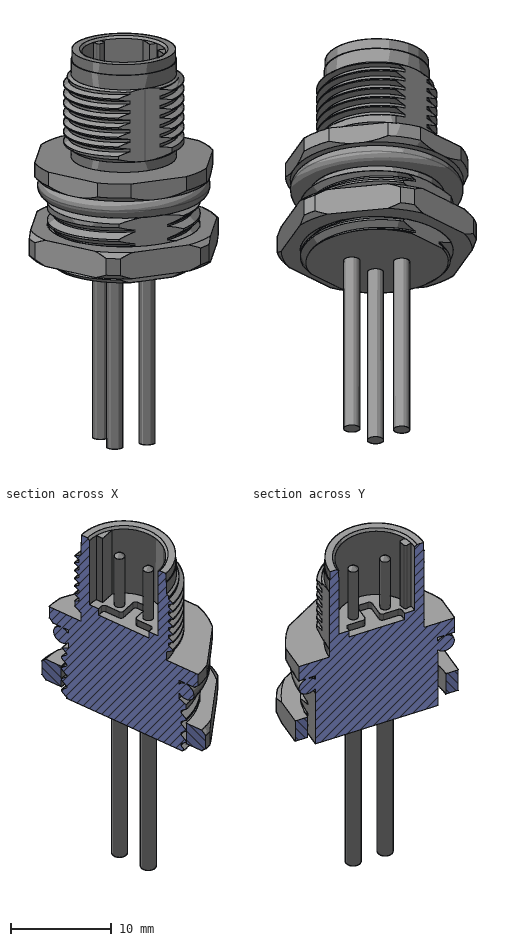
import cadquery as cq
import math

TOTAL_HEIGHT = 40.8
LIP_BOTTOM = 39.7
UPPER_THREAD_TOP = 38.2
UPPER_THREAD_BOTTOM = 30.6
FLANGE_TOP = 29.6
FLANGE_BOTTOM = 27.62
LOWER_THREAD_TOP = 25.35
HOUSING_BOTTOM = 18.65
NUT_BOTTOM = 19.83
NUT_HEIGHT = 2.75

LIP_DIAMETER = 10.32
SLEEVE_DIAMETER = 10.5

UPPER_THREAD_DIAMETER = 12.0
UPPER_ROOT_DIAMETER = 10.98
UPPER_PITCH = UPPER_THREAD_DIAMETER / 12
UPPER_ROOT_FLAT = 0.3
UPPER_FLANK_ANGLE = 30.0
UPPER_GROOVE_START = 31.5
UPPER_GROOVE_TURNS = 8
UPPER_CHAMFER_HEIGHT = 0.55

LOWER_THREAD_DIAMETER = 15.2
LOWER_ROOT_DIAMETER = 13.95
LOWER_FLAT_WIDTH = 13.5
LOWER_PITCH = 1.43
LOWER_ROOT_FLAT = 0.15
LOWER_FLANK_ANGLE = 40.0
LOWER_GROOVE_END = 24.75
LOWER_GROOVE_TURNS = 5
LOWER_CHAMFER_HEIGHT = 0.4
LOWER_END_CHAMFER = 0.5

FLANGE_ACROSS_FLATS = 17.18
FLANGE_CORNER_DIAMETER = 18.2
NUT_ACROSS_FLATS = 18.0
NUT_CORNER_DIAMETER = 20.0
HEX_CHAMFER = 0.5

RING_OUTER_DIAMETER = 17.18
RING_SECTION_DIAMETER = 2.05

SOCKET_DIAMETER = 8.32
SOCKET_MOUTH_DIAMETER = 8.8
SOCKET_DEPTH = 8.55
MOUTH_CHAMFER_HEIGHT = 0.25

KEY_GAP = 2.0
KEY_INNER_Y = 3.25
SIDE_KEY_WIDTH = 0.95
SIDE_KEY_REACH = 3.4
SIDE_KEY_ANGLE = 196.0
SIDE_KEY_FILLET = 0.2

CROSS_LENGTH = 6.08
CROSS_ARM_WIDTH = 1.6
CROSS_FILLET = 0.33
CROSS_DEPTH = 0.8

CONTACT_OFFSET = 1.75
CONTACT_PLACES = [
    (-CONTACT_OFFSET, -CONTACT_OFFSET),
    (CONTACT_OFFSET, -CONTACT_OFFSET),
    (CONTACT_OFFSET, CONTACT_OFFSET),
]
PIN_DIAMETER = 1.05
PIN_TIP_HEIGHT = 39.05
PIN_POINT_LENGTH = 0.55
WIRE_DIAMETER = 1.65

CUT_MARGIN = 0.05

SOCKET_FLOOR = TOTAL_HEIGHT - SOCKET_DEPTH
MOUTH_CHAMFER_BOTTOM = TOTAL_HEIGHT - MOUTH_CHAMFER_HEIGHT
RING_MIDDLE = FLANGE_BOTTOM - RING_SECTION_DIAMETER / 2


def cylinder(diameter, bottom, top):
    """Upright cylinder on the Z axis."""
    return cq.Workplane("XY").workplane(offset=bottom).circle(diameter / 2).extrude(top - bottom)


def revolved(points):
    """Solid of revolution about Z from (radius, height) points."""
    return cq.Workplane("XZ").polyline(points).close().revolve(360, (0, 0, 0), (0, 1, 0))


def between_flats(body, width):
    """Trim a body to two flats that face +X and -X."""
    box = body.val().BoundingBox()
    slab = cq.Workplane("XY").box(width, box.ylen, box.zlen).translate(box.center)
    return body.intersect(slab)


def thread_groove(crest_diameter, root_diameter, root_flat, flank_angle, pitch, start, turns):
    """Right-handed helical V groove that starts at the -X side."""
    root = root_diameter / 2
    mouth = crest_diameter / 2 + CUT_MARGIN
    root_half = root_flat / 2
    mouth_half = root_half + (mouth - root) * math.tan(math.radians(flank_angle))
    helix = cq.Wire.makeHelix(pitch, pitch * turns, root)
    profile = cq.Workplane("XZ").polyline(
        [(root, -root_half), (mouth, -mouth_half), (mouth, mouth_half), (root, root_half)]
    ).close()
    groove = profile.sweep(cq.Workplane(helix), isFrenet=True)
    return groove.rotate((0, 0, 0), (0, 0, 1), 180).translate((0, 0, start))


def trimmed_hexagon(across_flats, corner_diameter, bottom, height, chamfer_top):
    """Hexagonal plate with its corners turned down and chamfered."""
    hexagon = (
        cq.Workplane("XY").workplane(offset=bottom)
        .polygon(6, across_flats / math.cos(math.radians(30)))
        .extrude(height)
        .rotate((0, 0, 0), (0, 0, 1), 30)
    )
    chamfered_edges = "%CIRCLE" if chamfer_top else "%CIRCLE and <Z"
    turned = cylinder(corner_diameter, bottom, bottom + height).edges(chamfered_edges).chamfer(HEX_CHAMFER)
    return hexagon.intersect(turned)


def threaded_section(envelope, diameter, flat_width, groove):
    """Rod with a helical groove, two flats and the chamfered outline of the envelope."""
    box = envelope.val().BoundingBox()
    rod = cylinder(diameter, box.zmin, box.zmax).cut(groove)
    return between_flats(rod, flat_width).intersect(envelope)


def upper_thread():
    crest = UPPER_THREAD_DIAMETER / 2
    sleeve = SLEEVE_DIAMETER / 2
    envelope = revolved([
        (0, UPPER_THREAD_BOTTOM),
        (sleeve, UPPER_THREAD_BOTTOM),
        (crest, UPPER_THREAD_BOTTOM + UPPER_CHAMFER_HEIGHT),
        (crest, UPPER_THREAD_TOP - UPPER_CHAMFER_HEIGHT),
        (sleeve, UPPER_THREAD_TOP),
        (0, UPPER_THREAD_TOP),
    ])
    groove = thread_groove(
        UPPER_THREAD_DIAMETER, UPPER_ROOT_DIAMETER, UPPER_ROOT_FLAT, UPPER_FLANK_ANGLE,
        UPPER_PITCH, UPPER_GROOVE_START, UPPER_GROOVE_TURNS,
    )
    return threaded_section(envelope, UPPER_THREAD_DIAMETER, SLEEVE_DIAMETER, groove)


def lower_thread():
    crest = LOWER_THREAD_DIAMETER / 2
    neck = LOWER_FLAT_WIDTH / 2
    envelope = revolved([
        (0, HOUSING_BOTTOM),
        (crest - LOWER_END_CHAMFER, HOUSING_BOTTOM),
        (crest, HOUSING_BOTTOM + LOWER_END_CHAMFER),
        (crest, LOWER_THREAD_TOP - LOWER_CHAMFER_HEIGHT),
        (neck, LOWER_THREAD_TOP),
        (0, LOWER_THREAD_TOP),
    ])
    groove_start = LOWER_GROOVE_END - LOWER_PITCH * LOWER_GROOVE_TURNS
    groove = thread_groove(
        LOWER_THREAD_DIAMETER, LOWER_ROOT_DIAMETER, LOWER_ROOT_FLAT, LOWER_FLANK_ANGLE,
        LOWER_PITCH, groove_start, LOWER_GROOVE_TURNS,
    )
    return threaded_section(envelope, LOWER_THREAD_DIAMETER, LOWER_FLAT_WIDTH, groove)


def sealing_ring():
    section_radius = RING_SECTION_DIAMETER / 2
    centre_radius = RING_OUTER_DIAMETER / 2 - section_radius
    return (
        cq.Workplane("XZ").center(centre_radius, RING_MIDDLE).circle(section_radius)
        .revolve(360, (-centre_radius, 0, 0), (-centre_radius, 1, 0))
    )


def socket():
    """Round cavity with a chamfered mouth."""
    bore = SOCKET_DIAMETER / 2
    return revolved([
        (0, SOCKET_FLOOR),
        (bore, SOCKET_FLOOR),
        (bore, MOUTH_CHAMFER_BOTTOM),
        (SOCKET_MOUTH_DIAMETER / 2, TOTAL_HEIGHT),
        (0, TOTAL_HEIGHT),
    ])


def coding_keys():
    """Two wall segments on the +Y side and one small rib near the -X side."""
    height = MOUTH_CHAMFER_BOTTOM - SOCKET_FLOOR
    mid_wall = (SOCKET_DIAMETER + SLEEVE_DIAMETER) / 4
    floor = cq.Workplane("XY").workplane(offset=SOCKET_FLOOR)

    rib_length = mid_wall - SIDE_KEY_REACH
    keys = (
        floor.center(SIDE_KEY_REACH + rib_length / 2, 0).rect(rib_length, SIDE_KEY_WIDTH).extrude(height)
        .edges("|Z and <X").fillet(SIDE_KEY_FILLET)
        .rotate((0, 0, 0), (0, 0, 1), SIDE_KEY_ANGLE)
    )

    segment_width = mid_wall - KEY_GAP / 2
    segment_depth = mid_wall - KEY_INNER_Y
    segment_y = KEY_INNER_Y + segment_depth / 2
    for side in (-1, 1):
        segment_x = side * (KEY_GAP + segment_width) / 2
        keys = keys.union(floor.center(segment_x, segment_y).rect(segment_width, segment_depth).extrude(height))

    return keys.intersect(cylinder(2 * mid_wall, SOCKET_FLOOR, MOUTH_CHAMFER_BOTTOM))


def cross_recess():
    bottom = cq.Workplane("XY").workplane(offset=SOCKET_FLOOR - CROSS_DEPTH)
    arm_x = bottom.rect(CROSS_LENGTH, CROSS_ARM_WIDTH).extrude(CROSS_DEPTH)
    arm_y = bottom.rect(CROSS_ARM_WIDTH, CROSS_LENGTH).extrude(CROSS_DEPTH)
    return arm_x.union(arm_y).edges("|Z").fillet(CROSS_FILLET)


def contact(place):
    """Pointed pin that stands on the socket floor."""
    pin = cylinder(PIN_DIAMETER, SOCKET_FLOOR, PIN_TIP_HEIGHT - PIN_POINT_LENGTH)
    point = revolved([
        (0, PIN_TIP_HEIGHT - PIN_POINT_LENGTH),
        (PIN_DIAMETER / 2, PIN_TIP_HEIGHT - PIN_POINT_LENGTH),
        (0, PIN_TIP_HEIGHT),
    ])
    return pin.union(point).translate((*place, 0))


def wire(place):
    return cylinder(WIRE_DIAMETER, 0, HOUSING_BOTTOM).translate((*place, 0))


def make_connector():
    """Housing with its sealing ring, pins and wires."""
    flange_height = FLANGE_TOP - FLANGE_BOTTOM
    connector = (
        trimmed_hexagon(FLANGE_ACROSS_FLATS, FLANGE_CORNER_DIAMETER, FLANGE_BOTTOM, flange_height, False)
        .union(cylinder(SLEEVE_DIAMETER, FLANGE_TOP, LIP_BOTTOM))
        .union(cylinder(LIP_DIAMETER, LIP_BOTTOM, TOTAL_HEIGHT))
        .union(upper_thread())
        .union(cylinder(LOWER_FLAT_WIDTH, LOWER_THREAD_TOP, FLANGE_BOTTOM))
        .union(lower_thread())
        .union(sealing_ring())
        .cut(socket())
        .union(coding_keys())
        .cut(cross_recess())
    )
    for place in CONTACT_PLACES:
        connector = connector.union(contact(place)).union(wire(place))
    return connector


def make_nut():
    """Hexagon nut with a plain bore that fits the lower thread crests."""
    nut = trimmed_hexagon(NUT_ACROSS_FLATS, NUT_CORNER_DIAMETER, NUT_BOTTOM, NUT_HEIGHT, True)
    return nut.cut(cylinder(LOWER_THREAD_DIAMETER, NUT_BOTTOM, NUT_BOTTOM + NUT_HEIGHT))


connector = make_connector()
nut = make_nut()
result = cq.Compound.makeCompound([connector.val(), nut.val()])